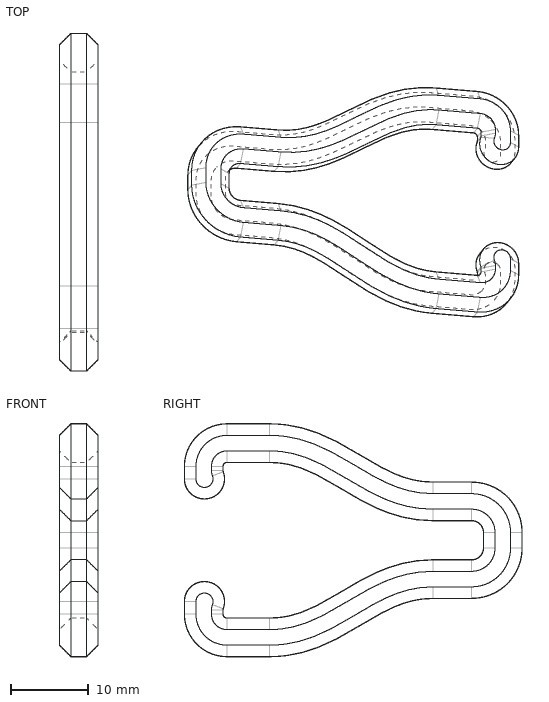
import cadquery as cq
import math


BAR = 5.0
CHAMFER = 1.5

LENGTH = 43.5
HEIGHT = 30.0

LOOP_HEIGHT = 15.0
LOOP_BEND = 4.0
LOOP_STRAIGHT = 5.0
FLARE_LENGTH = 21.0
FLARE_HANDLE = 8.5
HOOK_BEND = 3.0

TIP_STRAIGHT = 1.6
TIP_RADIUS = 2.6
TIP_BLEND = 0.5

HALF_BAR = BAR / 2
LOOP_OUTER_Y = LENGTH / 2
HOOK_OUTER_Y = -LENGTH / 2

LOOP_Y = LOOP_OUTER_Y - HALF_BAR
HOOK_Y = HOOK_OUTER_Y + HALF_BAR
LOOP_LEG_Z = LOOP_HEIGHT / 2 - HALF_BAR
HOOK_LEG_Z = HEIGHT / 2 - HALF_BAR
FLARE_START_Y = LOOP_Y - LOOP_BEND - LOOP_STRAIGHT
FLARE_END_Y = FLARE_START_Y - FLARE_LENGTH
HOOK_END_Z = HOOK_LEG_Z - HOOK_BEND


def corner_midpoint(center_y, center_z, radius, side):
    """Midpoint of an upper quarter bend; side is +1 towards +Y, -1 towards -Y."""
    reach = radius * math.sqrt(0.5)
    return (center_y + side * reach, center_z + reach)


def upper_bar():
    """Octagonal bar swept from the middle of the loop to the end of the upper hook bend."""
    loop_center = (LOOP_Y - LOOP_BEND, LOOP_LEG_Z - LOOP_BEND)
    hook_center = (HOOK_Y + HOOK_BEND, HOOK_END_Z)
    path = (
        cq.Workplane("YZ")
        .moveTo(LOOP_Y, 0)
        .lineTo(LOOP_Y, loop_center[1])
        .threePointArc(corner_midpoint(*loop_center, LOOP_BEND, 1), (loop_center[0], LOOP_LEG_Z))
        .lineTo(FLARE_START_Y, LOOP_LEG_Z)
        .bezier(
            [
                (FLARE_START_Y - FLARE_HANDLE, LOOP_LEG_Z),
                (FLARE_END_Y + FLARE_HANDLE, HOOK_LEG_Z),
                (FLARE_END_Y, HOOK_LEG_Z),
            ],
            includeCurrent=True,
        )
        .lineTo(hook_center[0], HOOK_LEG_Z)
        .threePointArc(corner_midpoint(*hook_center, HOOK_BEND, -1), (HOOK_Y, HOOK_END_Z))
    )
    flat = HALF_BAR - CHAMFER
    section = (
        cq.Workplane("XY")
        .center(0, LOOP_Y)
        .polyline(
            [
                (HALF_BAR, -flat),
                (HALF_BAR, flat),
                (flat, HALF_BAR),
                (-flat, HALF_BAR),
                (-HALF_BAR, flat),
                (-HALF_BAR, -flat),
                (-flat, -HALF_BAR),
                (flat, -HALF_BAR),
            ]
        )
        .close()
    )
    return section.sweep(path)


def upper_tip():
    """Round end of the upper hook, chamfered all round except where it joins the bar."""
    inner_y = HOOK_OUTER_Y + BAR
    round_y = HOOK_OUTER_Y + TIP_RADIUS
    round_z = HOOK_END_Z - TIP_STRAIGHT

    blend_y = inner_y + TIP_BLEND
    center_distance = TIP_RADIUS + TIP_BLEND
    blend_z = round_z + math.sqrt(center_distance**2 - (blend_y - round_y) ** 2)
    blend_angle = math.atan2(blend_z - round_z, blend_y - round_y)
    blend_end = (
        round_y + TIP_RADIUS * math.cos(blend_angle),
        round_z + TIP_RADIUS * math.sin(blend_angle),
    )
    blend_middle = (
        blend_y - TIP_BLEND * math.cos(blend_angle / 2),
        blend_z - TIP_BLEND * math.sin(blend_angle / 2),
    )

    blank = (
        cq.Workplane("YZ")
        .moveTo(HOOK_OUTER_Y, HOOK_END_Z)
        .lineTo(HOOK_OUTER_Y, round_z)
        .threePointArc((round_y, round_z - TIP_RADIUS), blend_end)
        .threePointArc(blend_middle, (inner_y, blend_z))
        .lineTo(inner_y, HOOK_END_Z)
        .close()
        .extrude(HALF_BAR, both=True)
    )
    return blank.faces("<X or >X").edges("not |Y").chamfer(CHAMFER)


upper_half = upper_bar().union(upper_tip())
result = upper_half.union(upper_half.mirror("XY"))